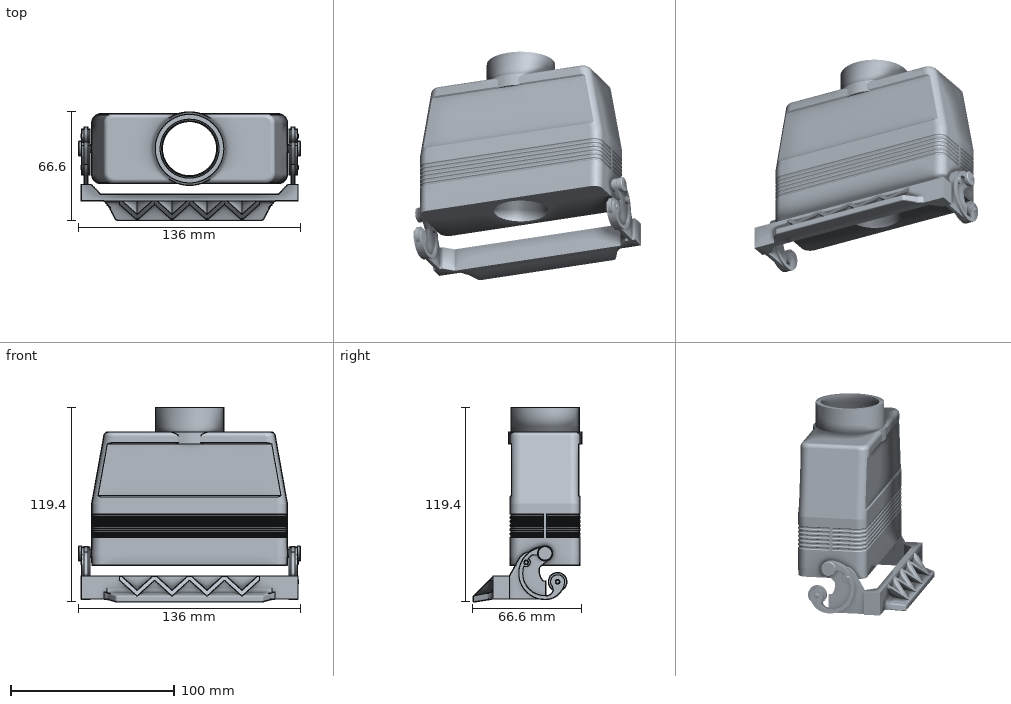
import cadquery as cq
import math

OVERALL_LENGTH = 136.0
OVERALL_WIDTH = 66.59
OVERALL_HEIGHT = 119.37

HOOD_LENGTH = 120.0
HOOD_WIDTH = 43.0
ROOF_Z = 81.8
TAPER_START_Z = 37.7
SKIRT_TOP_Z = 5.5
SKIRT_INSET = 0.15
ROOF_LENGTH = 104.2
CORNER_RADIUS = 6.0
ROOF_EDGE_RADIUS = 2.8

PANEL_DEPTH = 0.8
PANEL_BOTTOM_Z = 41.9
PANEL_TOP_Z = 75.2
PANEL_BEVEL = 0.9

GROOVE_COUNT = 6
GROOVE_PITCH = 2.53
GROOVE_HEIGHT = 1.8
GROOVE_DEPTH = 0.5
GROOVE_WALL_RUN = 0.5
LOWEST_GROOVE_Z = 18.1
GROOVE_GAP = 1.9

BOSS_DIAMETER = 45.1
BOSS_BOTTOM_Z = 74.4
COLLAR_DIAMETER = 42.0
COLLAR_TOP_Z = 96.92
BORE_DIAMETER = 33.2
COUNTERBORE_DIAMETER = 36.1
COUNTERBORE_DEPTH = 12.4
LEDGE_CHAMFER = 0.5

PIVOT = (0.0, 7.4)
PIVOT_PIN_RADIUS = 2.5
PIN_EMBED = 1.0
PIVOT_HEAD_RADIUS = 4.6
PIVOT_HEAD_X = OVERALL_LENGTH / 2
PIVOT_HEAD_CHAMFER = 0.4
PLATE_INNER_X = 62.2
PLATE_OUTER_X = 64.6
BAND_INNER_X = 60.9
BAND_OUTER_X = 66.1

BAND_CENTER = (0.0, -4.8)
BAND_OUTER_RADIUS = 16.1
BAND_INNER_RADIUS = 13.7
PIVOT_EYE_RADIUS = BAND_CENTER[1] + BAND_OUTER_RADIUS - PIVOT[1]
NECK_START_Y = 2.0
NECK_OUTER_MIDDLE = (8.1, -17.9)
NECK_INNER_MIDDLE = (4.1, -16.9)
NECK_THROAT = (5.0, -14.9)
NECK_EYE_SIDE = (4.6, -13.0)
BAND_FILL_Y = (-7.5, -2.0)
BAND_FILL_Z = (6.5, 8.8)
HOOK = (7.68, -10.0)
HOOK_BAND_RADIUS = 4.3
HOOK_PLATE_RADIUS = 5.7
RIVET = (-11.56, 1.9)
RIVET_PAD_RADIUS = 2.5
RIVET_RADIUS = 1.4
RIVET_HEAD_X = 66.6
RIVET_CHAMFER = 0.35

PLATE_EYE_SIDE = (4.2, 7.8)
PLATE_EYE_END = (2.9, 4.4)
THROAT_TOP = (-3.3, -1.1)
THROAT_MIDDLE = (-3.1, -6.0)
THROAT_END = (-1.1, -9.5)
PLATE_REAR_Y = 0.45
SHOULDER_START = (-15.5, 4.9)
SHOULDER_MIDDLE = (-13.3, 7.0)
SHOULDER_END = (-9.8, 8.4)
CROWN_MIDDLE = (-5.2, 10.85)
CROWN_END = (0.0, 11.7)

BAR_LENGTH = 132.9
BAR_TOP_Z = -6.4
BAR_BOTTOM_Z = -20.6
BAR_FRONT_Y = -32.0
BAR_BACK_Y = -27.8
BAR_END_BACK_Y = -21.9
END_BLOCK_LENGTH = 6.2
END_BLOCK_SLOPE_LENGTH = 5.7

LIP_TIP_Y = BOSS_DIAMETER / 2 - OVERALL_WIDTH
LIP_BOTTOM_Z = COLLAR_TOP_Z - OVERALL_HEIGHT
LIP_ROOT_TOP_Z = -16.2
LIP_TIP_TOP_Z = -18.7
LIP_ROOT_LENGTH = 105.0
LIP_KNEE_LENGTH = 99.8
LIP_TIP_LENGTH = 90.0
LIP_EMBED = 1.0
LIP_CORNER_RADIUS = 2.0
LIP_EDGE_RADIUS = 0.7
LIP_FILLET_RISE = 2.1
LIP_FILLET_RUN = 2.7
LIP_FILLET_MIDDLE_RISE = 0.3
LIP_FILLET_MIDDLE_RUN = 0.8
LIP_FILLET_LENGTH = 101.2

ZIGZAG_COUNT = 4
ZIGZAG_PITCH = 21.4
ZIGZAG_SLOPE = 0.91
ZIGZAG_TIP_Z = -18.8
ZIGZAG_THICKNESS_Z = 3.6
RAMP_TOP_Z = -6.9


def box_between(x0, x1, y0, y1, z0, z1):
    return cq.Workplane("XY").box(x1 - x0, y1 - y0, z1 - z0, centered=False).translate((x0, y0, z0))


def cylinder_x(center, radius, x0, x1):
    """Cylinder along X round a (Y, Z) center."""
    return cq.Workplane("YZ", origin=(x0, 0, 0)).center(*center).circle(radius).extrude(x1 - x0)


def rounded_loft(z0, inset0, z1, inset1):
    """Solid between two copies of the hood plan, each drawn in by its own inset."""
    sections = []
    for z, inset in ((z0, inset0), (z1, inset1)):
        plan = cq.Sketch().rect(HOOD_LENGTH - 2 * inset, HOOD_WIDTH - 2 * inset)
        plan = plan.vertices().fillet(CORNER_RADIUS - inset)
        sections.append(plan.moved(cq.Location(cq.Vector(0, 0, z))))
    return cq.Workplane("XY").placeSketch(*sections).loft()


def hood_shell():
    half_base = HOOD_LENGTH / 2
    half_roof = ROOF_LENGTH / 2
    outline = [
        (-half_base, SKIRT_TOP_Z),
        (half_base, SKIRT_TOP_Z),
        (half_base, TAPER_START_Z),
        (half_roof, ROOF_Z),
        (-half_roof, ROOF_Z),
        (-half_base, TAPER_START_Z),
    ]
    body = cq.Workplane("XZ").polyline(outline).close().extrude(HOOD_WIDTH / 2, both=True)
    body = body.edges("(not #Z) and (not |X) and (not |Y)").fillet(CORNER_RADIUS)
    body = body.faces(">Z").edges().fillet(ROOF_EDGE_RADIUS)
    return body.union(rounded_loft(0, SKIRT_INSET, SKIRT_TOP_Z, 0))


def panel_cut(side):
    """Full-length recess with bevelled upper and lower edges; side is -1 or +1 along Y."""
    face = HOOD_WIDTH / 2
    floor = face - PANEL_DEPTH
    profile = [
        (side * face, PANEL_BOTTOM_Z),
        (side * floor, PANEL_BOTTOM_Z + PANEL_BEVEL),
        (side * floor, PANEL_TOP_Z - PANEL_BEVEL),
        (side * face, PANEL_TOP_Z),
    ]
    return cq.Workplane("YZ").polyline(profile).close().extrude(HOOD_LENGTH / 2, both=True)


def groove_ring(z):
    """Ring removed from the hood, interrupted at the middle of each end face."""
    bottom_z = z - GROOVE_HEIGHT / 2
    top_z = z + GROOVE_HEIGHT / 2
    floor_bottom_z = bottom_z + GROOVE_WALL_RUN
    floor_top_z = top_z - GROOVE_WALL_RUN
    ring = rounded_loft(bottom_z, 0, top_z, 0)
    ring = ring.cut(rounded_loft(bottom_z, 0, floor_bottom_z, GROOVE_DEPTH))
    ring = ring.cut(rounded_loft(floor_bottom_z, GROOVE_DEPTH, floor_top_z, GROOVE_DEPTH))
    ring = ring.cut(rounded_loft(floor_top_z, GROOVE_DEPTH, top_z, 0))
    half_gap = GROOVE_GAP / 2
    half_length = HOOD_LENGTH / 2
    return ring.cut(box_between(-half_length, half_length, -half_gap, half_gap, bottom_z, top_z))


def cylinder_z(diameter, z0, z1):
    return cq.Workplane("XY", origin=(0, 0, z0)).circle(diameter / 2).extrude(z1 - z0)


def entry_bore():
    """Stepped bore with a bevelled ledge, revolved about the Z axis."""
    ledge_z = COLLAR_TOP_Z - COUNTERBORE_DEPTH
    bore = BORE_DIAMETER / 2
    counterbore = COUNTERBORE_DIAMETER / 2
    profile = [
        (0, 0),
        (bore, 0),
        (bore, ledge_z - LEDGE_CHAMFER),
        (bore + LEDGE_CHAMFER, ledge_z),
        (counterbore, ledge_z),
        (counterbore, COLLAR_TOP_Z),
        (0, COLLAR_TOP_Z),
    ]
    return cq.Workplane("XZ").polyline(profile).close().revolve(360, (0, 0), (0, 1))


def hood():
    body = hood_shell()
    for side in (-1, 1):
        body = body.cut(panel_cut(side))
    for i in range(GROOVE_COUNT):
        body = body.cut(groove_ring(LOWEST_GROOVE_Z + i * GROOVE_PITCH))
    body = body.union(cylinder_z(BOSS_DIAMETER, BOSS_BOTTOM_Z, ROOF_Z))
    body = body.union(cylinder_z(COLLAR_DIAMETER, BOSS_BOTTOM_Z, COLLAR_TOP_Z))
    return body.cut(entry_bore())


def hook_neck(x0, x1):
    """Curved neck that joins the bottom of the band to the hook eye."""
    neck_bottom_z = BAND_CENTER[1] - math.sqrt(BAND_OUTER_RADIUS**2 - NECK_START_Y**2)
    neck_top_z = BAND_CENTER[1] - math.sqrt(BAND_INNER_RADIUS**2 - NECK_START_Y**2)
    return (
        cq.Workplane("YZ", origin=(x0, 0, 0))
        .moveTo(HOOK[0] + HOOK_BAND_RADIUS, HOOK[1])
        .threePointArc(NECK_OUTER_MIDDLE, (NECK_START_Y, neck_bottom_z))
        .lineTo(NECK_START_Y, neck_top_z)
        .threePointArc(NECK_INNER_MIDDLE, NECK_THROAT)
        .lineTo(*NECK_EYE_SIDE)
        .lineTo(*HOOK)
        .close()
        .extrude(x1 - x0)
    )


def lever_band(x0, x1):
    """Half ring from the pivot eye round to the hook, with a pad for the rivet."""
    band_bottom_z = BAND_CENTER[1] - BAND_OUTER_RADIUS
    band_top_z = BAND_CENTER[1] + BAND_OUTER_RADIUS
    ring = cylinder_x(BAND_CENTER, BAND_OUTER_RADIUS, x0, x1)
    ring = ring.cut(cylinder_x(BAND_CENTER, BAND_INNER_RADIUS, x0, x1))
    ring = ring.intersect(box_between(x0, x1, -BAND_OUTER_RADIUS, NECK_START_Y, band_bottom_z, band_top_z))
    ring = ring.union(cylinder_x(PIVOT, PIVOT_EYE_RADIUS, x0, x1))
    ring = ring.union(cylinder_x(RIVET, RIVET_PAD_RADIUS, x0, x1))
    ring = ring.union(box_between(x0, x1, *BAND_FILL_Y, *BAND_FILL_Z))
    ring = ring.union(cylinder_x(HOOK, HOOK_BAND_RADIUS, x0, x1))
    return ring.union(hook_neck(x0, x1))


def lever_plate(x0, x1):
    web = (
        cq.Workplane("YZ", origin=(x0, 0, 0))
        .moveTo(*PLATE_EYE_END)
        .lineTo(*THROAT_TOP)
        .threePointArc(THROAT_MIDDLE, THROAT_END)
        .lineTo(PLATE_REAR_Y, THROAT_END[1])
        .lineTo(PLATE_REAR_Y, BAR_BOTTOM_Z)
        .lineTo(BAR_END_BACK_Y, BAR_BOTTOM_Z)
        .lineTo(BAR_END_BACK_Y, BAR_TOP_Z)
        .lineTo(*SHOULDER_START)
        .threePointArc(SHOULDER_MIDDLE, SHOULDER_END)
        .threePointArc(CROWN_MIDDLE, CROWN_END)
        .threePointArc(PLATE_EYE_SIDE, PLATE_EYE_END)
        .close()
        .extrude(x1 - x0)
    )
    return web.union(cylinder_x(HOOK, HOOK_PLATE_RADIUS, x0, x1))


def rivet(center):
    return cylinder_x(center, RIVET_RADIUS, PLATE_INNER_X, RIVET_HEAD_X).faces(">X").chamfer(RIVET_CHAMFER)


def lever():
    """Lever plate, bands and pins at the +X end."""
    part = lever_plate(PLATE_INNER_X, PLATE_OUTER_X)
    part = part.union(lever_band(BAND_INNER_X, BAND_OUTER_X))
    part = part.union(cylinder_x(PIVOT, PIVOT_PIN_RADIUS, HOOD_LENGTH / 2 - PIN_EMBED, BAND_OUTER_X))
    head = cylinder_x(PIVOT, PIVOT_HEAD_RADIUS, BAND_OUTER_X, PIVOT_HEAD_X)
    part = part.union(head.faces(">X").chamfer(PIVOT_HEAD_CHAMFER))
    for center in (RIVET, HOOK):
        part = part.union(rivet(center))
    return part


def handle_bar():
    end_x = BAR_LENGTH / 2
    block_x = end_x - END_BLOCK_LENGTH
    slope_x = block_x - END_BLOCK_SLOPE_LENGTH
    outline = [
        (-end_x, BAR_FRONT_Y),
        (end_x, BAR_FRONT_Y),
        (end_x, BAR_END_BACK_Y),
        (block_x, BAR_END_BACK_Y),
        (slope_x, BAR_BACK_Y),
        (-slope_x, BAR_BACK_Y),
        (-block_x, BAR_END_BACK_Y),
        (-end_x, BAR_END_BACK_Y),
    ]
    bar = cq.Workplane("XY", origin=(0, 0, BAR_BOTTOM_Z)).polyline(outline).close()
    return bar.extrude(BAR_TOP_Z - BAR_BOTTOM_Z)


def lip():
    reach = BAR_FRONT_Y - LIP_TIP_Y
    embed_y = BAR_FRONT_Y + LIP_EMBED
    underside_slope = (BAR_BOTTOM_Z - LIP_BOTTOM_Z) / (reach - LIP_EDGE_RADIUS)
    tip_corner_z = BAR_BOTTOM_Z - underside_slope * reach
    profile = [
        (embed_y, BAR_BOTTOM_Z),
        (BAR_FRONT_Y, BAR_BOTTOM_Z),
        (LIP_TIP_Y, tip_corner_z),
        (LIP_TIP_Y, LIP_TIP_TOP_Z),
        (BAR_FRONT_Y, LIP_ROOT_TOP_Z),
        (embed_y, LIP_ROOT_TOP_Z),
    ]
    root = LIP_ROOT_LENGTH / 2
    knee = LIP_KNEE_LENGTH / 2
    tip = LIP_TIP_LENGTH / 2
    knee_y = BAR_FRONT_Y - LIP_FILLET_RUN
    plan = [
        (-root, embed_y),
        (-root, BAR_FRONT_Y),
        (-knee, knee_y),
        (-tip, LIP_TIP_Y),
        (tip, LIP_TIP_Y),
        (knee, knee_y),
        (root, BAR_FRONT_Y),
        (root, embed_y),
    ]
    slab = cq.Workplane("YZ").polyline(profile).close().extrude(root, both=True)
    mask = cq.Workplane("XY", origin=(0, 0, tip_corner_z)).polyline(plan).close().extrude(-tip_corner_z)
    mask = mask.edges("|Z and <Y").fillet(LIP_CORNER_RADIUS)
    slab = slab.intersect(mask)
    tip_region = cq.selectors.BoxSelector(
        (-root, LIP_TIP_Y - LIP_EDGE_RADIUS, tip_corner_z - LIP_EDGE_RADIUS),
        (root, LIP_TIP_Y + LIP_EDGE_RADIUS, LIP_ROOT_TOP_Z),
    )
    slab = slab.edges(tip_region).edges("not |Z").fillet(LIP_EDGE_RADIUS)
    return slab.union(lip_root_fillet())


def lip_root_fillet():
    """Concave fillet where the top of the lip meets the bar."""
    lip_slope = (LIP_TIP_TOP_Z - LIP_ROOT_TOP_Z) / (LIP_TIP_Y - BAR_FRONT_Y)
    foot_y = BAR_FRONT_Y - LIP_FILLET_RUN
    foot_z = LIP_ROOT_TOP_Z - LIP_FILLET_RUN * lip_slope
    middle = (BAR_FRONT_Y - LIP_FILLET_MIDDLE_RUN, LIP_ROOT_TOP_Z + LIP_FILLET_MIDDLE_RISE)
    return (
        cq.Workplane("YZ")
        .moveTo(BAR_FRONT_Y, LIP_ROOT_TOP_Z + LIP_FILLET_RISE)
        .threePointArc(middle, (foot_y, foot_z))
        .lineTo(BAR_FRONT_Y, LIP_ROOT_TOP_Z - LIP_EMBED)
        .close()
        .extrude(LIP_FILLET_LENGTH / 2, both=True)
    )


def zigzag_line(tip_z):
    """Points (X, Z) of a zigzag whose lower tips lie at tip_z."""
    crest_z = tip_z + ZIGZAG_SLOPE * ZIGZAG_PITCH / 2
    end_x = ZIGZAG_COUNT * ZIGZAG_PITCH / 2
    points = [(-end_x, crest_z)]
    for i in range(ZIGZAG_COUNT):
        tip_x = -end_x + (i + 0.5) * ZIGZAG_PITCH
        points.append((tip_x, tip_z))
        points.append((tip_x + ZIGZAG_PITCH / 2, crest_z))
    return points


def zigzag_rib():
    """Folded web standing out from the bar, cut off by a 45 degree ramp and the top of the bar."""
    lower = zigzag_line(ZIGZAG_TIP_Z)
    upper = zigzag_line(ZIGZAG_TIP_Z + ZIGZAG_THICKNESS_Z)
    outline = lower + upper[::-1]
    reach = BAR_FRONT_Y - LIP_TIP_Y
    web = cq.Workplane("XZ", origin=(0, BAR_FRONT_Y, 0)).polyline(outline).close().extrude(reach)
    ramp = [
        (BAR_FRONT_Y, RAMP_TOP_Z),
        (BAR_FRONT_Y, RAMP_TOP_Z - reach),
        (LIP_TIP_Y, RAMP_TOP_Z - reach),
    ]
    wedge = cq.Workplane("YZ").polyline(ramp).close().extrude(BAR_LENGTH / 2, both=True)
    return web.intersect(wedge)


right_lever = lever()
result = hood()
for part in (right_lever, right_lever.mirror("YZ"), handle_bar(), lip(), zigzag_rib()):
    result = result.union(part)